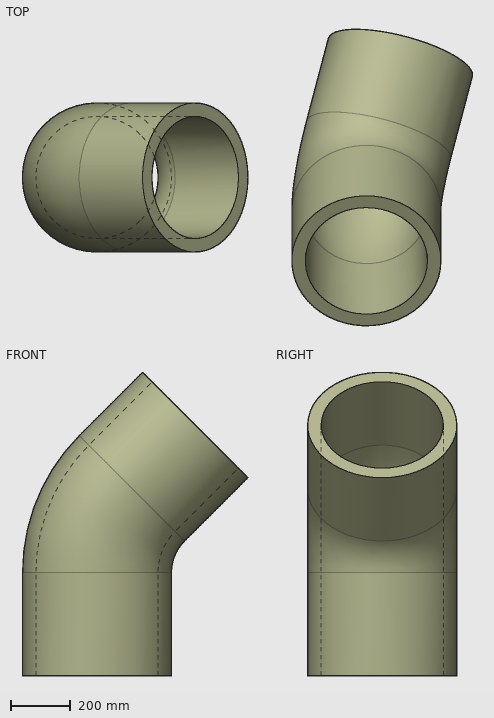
import cadquery as cq
import math

outer_diameter = 500.0
inner_diameter = 409.2
bend_angle = 45.0
bend_radius = 400.0
corner_to_bottom = 511.0
corner_to_top = 466.0

bend_tangent = bend_radius * math.tan(math.radians(bend_angle) / 2)
lower_length = corner_to_bottom - bend_tangent
upper_length = corner_to_top - bend_tangent


def pipe_section(plane):
    """Ring-shaped pipe cross-section on the given plane."""
    return cq.Workplane(plane).circle(outer_diameter / 2).circle(inner_diameter / 2)


def lower_leg():
    """Vertical straight pipe standing on Z = 0."""
    return pipe_section("XY").extrude(lower_length)


def bend():
    """Bend about a Y-direction axis on the +X side of the lower leg."""
    start = cq.Plane(origin=(0, 0, lower_length))
    return pipe_section(start).revolve(bend_angle, (bend_radius, 0), (bend_radius, 1))


def upper_leg():
    """Inclined straight pipe leaving the end of the bend."""
    angle = math.radians(bend_angle)
    end_x = bend_radius * (1 - math.cos(angle))
    end_z = lower_length + bend_radius * math.sin(angle)
    end = cq.Plane(
        origin=(end_x, 0, end_z),
        xDir=(math.cos(angle), 0, -math.sin(angle)),
        normal=(math.sin(angle), 0, math.cos(angle)),
    )
    return pipe_section(end).extrude(upper_length)


result = lower_leg().union(bend()).union(upper_leg())